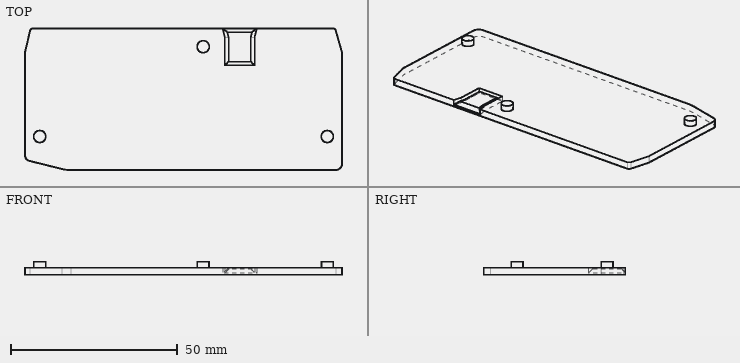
import cadquery as cq
import math

length = 95.3
width = 42.6
thickness = 2.2
total_height = 4.0

left_cut_x = 1.7
left_cut_y = 7.3
right_cut_x = 2.1
right_cut_y = 7.3
bottom_cut_x = 12.4
bottom_cut_angle = 14.0
bottom_cut_y = bottom_cut_x * math.tan(math.radians(bottom_cut_angle))

small_radius = 1.0
left_radius = 1.9
right_radius = 2.0
blend_radius = 10.9

peg_diameter = 3.6
peg_centers = [(4.5, 10.1), (90.8, 10.1), (53.6, 37.1)]

recess_center_x = 64.5
recess_width = 9.0
recess_mouth_width = 10.3
recess_length = 11.15
recess_flare_length = 2.7
recess_depth = 1.5
recess_floor_z = thickness - recess_depth

pad_drop = 0.4
pad_slope_run = 1.1


def make_plate():
    """Flat plate with three sloping corner cuts and rounded corners."""
    corners = [
        (bottom_cut_x, 0, blend_radius),
        (length, 0, right_radius),
        (length, width - right_cut_y, small_radius),
        (length - right_cut_x, width, small_radius),
        (left_cut_x, width, small_radius),
        (0, width - left_cut_y, small_radius),
        (0, bottom_cut_y, left_radius),
    ]
    outline = [(x, y) for x, y, _ in corners]
    plate = cq.Workplane("XY").polyline(outline).close().extrude(thickness)
    for x, y, radius in corners:
        corner_edge = cq.selectors.NearestToPointSelector((x, y, thickness / 2))
        plate = plate.edges(corner_edge).fillet(radius)
    return plate


def make_pegs():
    """Round pegs standing on the plate."""
    return cq.Workplane("XY").pushPoints(peg_centers).circle(peg_diameter / 2).extrude(total_height)


def recess_section(inset, z):
    """Closed wire of the recess outline at height z, with its sides moved inward by inset."""
    half = recess_width / 2 - inset
    flare = (recess_mouth_width - recess_width) / 2
    flare_y = width - recess_flare_length
    back_y = width - inset
    back_half = half + flare * (back_y - flare_y) / recess_flare_length
    front_y = width - recess_length + inset
    right_side = [(half, front_y), (half, flare_y), (back_half, back_y)]
    left_side = [(-x, y) for x, y in reversed(right_side)]
    points = [cq.Vector(recess_center_x + x, y, z) for x, y in right_side + left_side]
    return cq.Wire.makePolygon(points, close=True)


def make_recess():
    """Straight-walled notch open at the plate's back edge."""
    base = recess_section(0, recess_floor_z)
    top = recess_section(0, thickness)
    return cq.Workplane(cq.Solid.makeLoft([base, top], True))


def make_pad():
    """Raised pad filling the recess floor, its sides sloping inward on the way up."""
    base = recess_section(0, recess_floor_z)
    top = recess_section(pad_slope_run, thickness - pad_drop)
    return cq.Workplane(cq.Solid.makeLoft([base, top], True))


result = make_plate().union(make_pegs()).cut(make_recess()).union(make_pad())